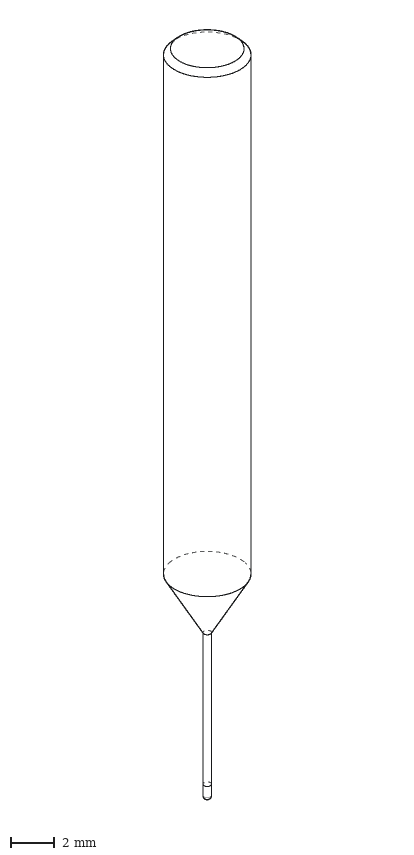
import cadquery as cq
import math

tool_length = 40.0
shank_radius = 2.0
shank_bottom = 12.0
shank_chamfer = 0.3

taper_half_angle = 30.0
neck_radius = 0.2
taper_height = (shank_radius - neck_radius) / math.tan(math.radians(taper_half_angle))
taper_bottom = shank_bottom - taper_height

tip_radius = 0.2
tip_length = 0.8


def make_holder():
    """Chamfered shank, taper and thin neck, revolved as one body."""
    profile = (
        cq.Workplane("XZ")
        .moveTo(0, tip_length)
        .lineTo(neck_radius, tip_length)
        .lineTo(neck_radius, taper_bottom)
        .lineTo(shank_radius, shank_bottom)
        .lineTo(shank_radius, tool_length - shank_chamfer)
        .lineTo(shank_radius - shank_chamfer, tool_length)
        .lineTo(0, tool_length)
        .close()
    )
    return profile.revolve(360, (0, 0, 0), (0, 1, 0))


def make_cutting_tip():
    """Short cylinder with a hemispherical lower end."""
    arc_offset = tip_radius * math.sin(math.radians(45))
    profile = (
        cq.Workplane("XZ")
        .moveTo(0, 0)
        .threePointArc((arc_offset, tip_radius - arc_offset), (tip_radius, tip_radius))
        .lineTo(tip_radius, tip_length)
        .lineTo(0, tip_length)
        .close()
    )
    return profile.revolve(360, (0, 0, 0), (0, 1, 0))


holder = make_holder()
cutting_tip = make_cutting_tip()

result = cq.Compound.makeCompound([holder.val(), cutting_tip.val()])